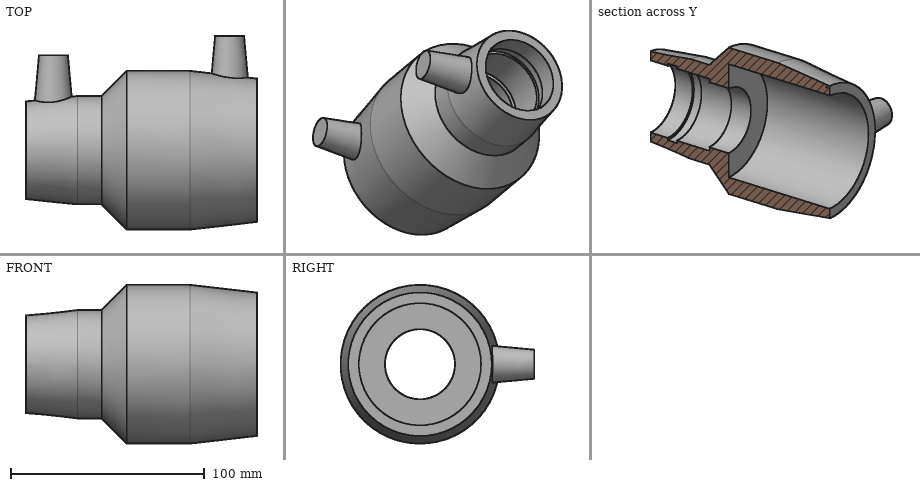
import cadquery as cq
import math

overall_length = 119.2

small_rim_diameter = 50.5
small_body_diameter = 56.0
large_body_diameter = 82.0
large_rim_diameter = 74.0

small_taper_end = 26.5
cone_start = 39.0
cone_end = cone_start + (large_body_diameter - small_body_diameter) / 2
large_taper_start = 84.5

small_socket_diameter = 40.0
small_socket_depth = cone_start
coil_recess_diameter = 42.6
coil_recess_start = 11.5
coil_recess_end = 17.5
throat_diameter = 36.0
large_socket_diameter = 63.0
large_socket_start = cone_end

post_tip_diameter = 15.1
post_half_angle = 5.3
post_end_offset = 14.2
small_post_tip_y = 49.0
large_post_tip_y = 59.0
small_post_root_y = 22.0
large_post_root_y = 34.0


def make_body():
    """Solid of revolution that forms the outside of the coupler."""
    return (
        cq.Workplane("XY")
        .moveTo(0, 0)
        .lineTo(0, small_rim_diameter / 2)
        .lineTo(small_taper_end, small_body_diameter / 2)
        .lineTo(cone_start, small_body_diameter / 2)
        .lineTo(cone_end, large_body_diameter / 2)
        .lineTo(large_taper_start, large_body_diameter / 2)
        .lineTo(overall_length, large_rim_diameter / 2)
        .lineTo(overall_length, 0)
        .close()
        .revolve(360, (0, 0, 0), (1, 0, 0))
    )


def make_post(axis_x, root_y, tip_y):
    """Tapered round post from inside the wall out to its flat tip."""
    tip_radius = post_tip_diameter / 2
    height = tip_y - root_y
    root_radius = tip_radius + height * math.tan(math.radians(post_half_angle))
    base = cq.Vector(axis_x, root_y, 0)
    return cq.Workplane(cq.Solid.makeCone(root_radius, tip_radius, height, base, cq.Vector(0, 1, 0)))


def make_bore(diameter, start_x, length):
    """Cylinder on the X axis, used to hollow the coupler."""
    return cq.Workplane("YZ").workplane(offset=start_x).circle(diameter / 2).extrude(length)


def make_inside():
    """Both sockets, the throat joining them and the coil recess, as one cutting solid."""
    throat = make_bore(throat_diameter, small_socket_depth, large_socket_start - small_socket_depth)
    small_socket = make_bore(small_socket_diameter, 0, small_socket_depth)
    coil_recess = make_bore(coil_recess_diameter, coil_recess_start, coil_recess_end - coil_recess_start)
    large_socket = make_bore(large_socket_diameter, large_socket_start, overall_length - large_socket_start)
    return small_socket.union(throat).union(large_socket).union(coil_recess)


small_post = make_post(post_end_offset, small_post_root_y, small_post_tip_y)
large_post = make_post(overall_length - post_end_offset, large_post_root_y, large_post_tip_y)

result = make_body().union(small_post).union(large_post).cut(make_inside())